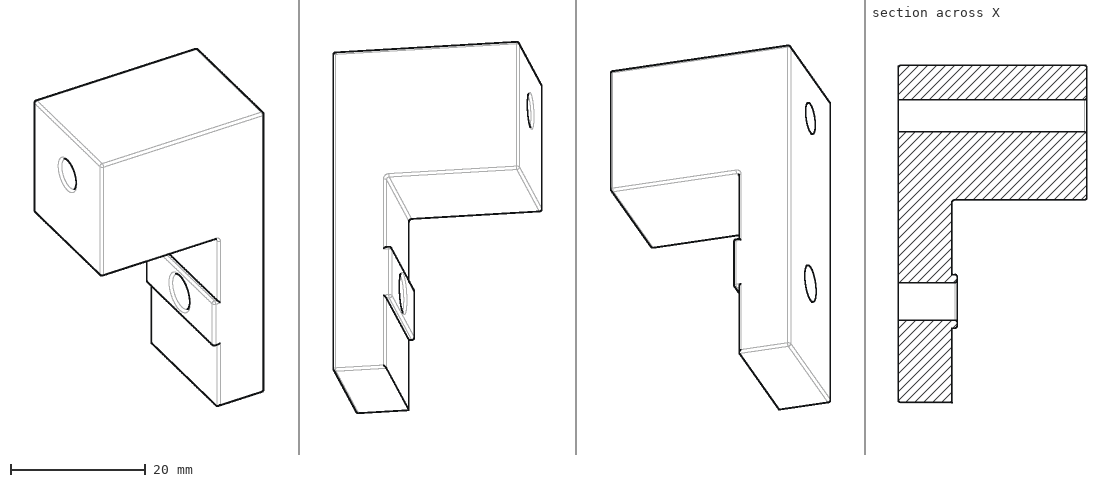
import cadquery as cq

width = 20.0
depth = 28.0
height = 50.0

leg_depth = 8.0
head_height = 20.0
inner_corner_radius = 0.4
edge_round = 0.4

pad_rise = 0.8
pad_height = 8.0
pad_center_z = 15.0
pad_embed = 2 * edge_round

hole_rim = 0.4
head_hole_diameter = 4.7
head_hole_z = 42.5
leg_hole_diameter = 5.5
leg_hole_z = pad_center_z

leg_front_y = depth - leg_depth
pad_front_y = leg_front_y - pad_rise
head_bottom_z = height - head_height


def make_bracket():
    """L-shaped bracket with a rounded inner corner and rounded outer edges.

    The front bottom edge of the leg stays sharp.
    """
    bracket = (
        cq.Workplane("YZ")
        .moveTo(depth, 0)
        .lineTo(depth, height)
        .lineTo(0, height)
        .lineTo(0, head_bottom_z)
        .lineTo(leg_front_y, head_bottom_z)
        .lineTo(leg_front_y, 0)
        .close()
        .extrude(width / 2, both=True)
    )
    inner_corner = cq.selectors.NearestToPointSelector((0, leg_front_y, head_bottom_z))
    bracket = bracket.edges(inner_corner).fillet(inner_corner_radius)
    outer_edges = bracket.faces("<X or >X or >Y or <Y or >Z").edges()
    return outer_edges.fillet(edge_round)


def make_pad():
    """Pad sunk into the leg, with its exposed edges rounded."""
    pad_depth = pad_rise + pad_embed
    return (
        cq.Workplane("XY")
        .box(width, pad_depth, pad_height)
        .edges("<Y or |Y")
        .fillet(edge_round)
        .translate((0, pad_front_y + pad_depth / 2, pad_center_z))
    )


def hole_cutter(diameter, z, front_y):
    """Through hole with a rounded rim at the front face."""
    radius = diameter / 2
    return (
        cq.Workplane("XY")
        .moveTo(0, front_y)
        .lineTo(radius + hole_rim, front_y)
        .radiusArc((radius, front_y + hole_rim), hole_rim)
        .lineTo(radius, depth)
        .lineTo(0, depth)
        .close()
        .revolve(360, (0, 0, 0), (0, 1, 0))
        .translate((0, 0, z))
    )


result = (
    make_bracket()
    .union(make_pad())
    .cut(hole_cutter(head_hole_diameter, head_hole_z, 0))
    .cut(hole_cutter(leg_hole_diameter, leg_hole_z, pad_front_y))
)